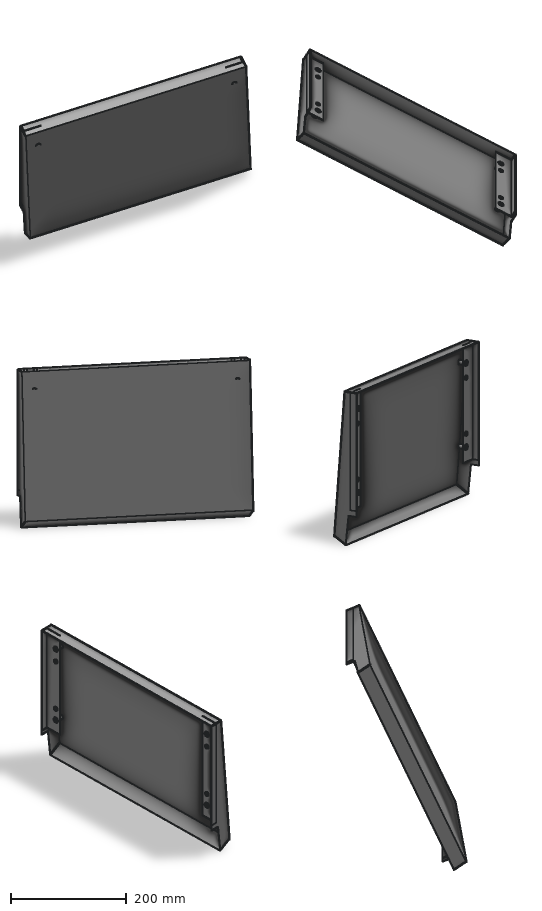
import cadquery as cq
import math

housing_width = 412.2
housing_depth = 45.69
housing_height = 275.34
housing_sheet = 1.5
bend_radius = 1.7
back_angle = 4.56
corner_notch = 1.4
lip_angle = 30.0
lip_tip_x = 21.8
wall_setback = 0.7
wall_front_height = 221.5
wall_step_x = 16.0

bracket_sheet = 1.5
bracket_height = 210.0
bracket_flange = 12.7
bracket_web = 32.5

hole_column_inset = 23.6
plain_center_z = -111.2
standoff_center_z = -110.0
plain_hole_pitch = 100.0
plain_hole_diameter = 8.0
standoff_pitch = 150.0

head_across_flats = 9.5
barrel_diameter = 9.0
barrel_length = 12.8
bore_diameter = 6.5

half_width = housing_width / 2
inner_half_width = half_width - housing_sheet
web_front_x = bracket_flange - bracket_sheet
hole_column_y = half_width - hole_column_inset
SIDES = (-1, 1)

slope = math.radians(lip_angle)
back_slope = math.tan(math.radians(back_angle))
half_bend = math.radians(90 - lip_angle + back_angle) / 2
bend_middle_angle = math.radians(back_angle) - half_bend
bend_overshoot = bend_radius * (math.cos(bend_middle_angle) / math.cos(half_bend) - 1)
back_bottom_x = housing_depth + bend_overshoot
back_bottom_z = -housing_height + (back_bottom_x - lip_tip_x) * math.tan(slope)
top_depth = back_bottom_x + back_slope * back_bottom_z
inner_top_depth = top_depth - housing_sheet * math.hypot(1, back_slope)


def extrude_across(outline, half_length):
    """Extrude an X-Z outline symmetrically along Y."""
    return cq.Workplane("XZ").polyline(outline).close().extrude(half_length, both=True)


def lip_meets_back(height):
    """Point on the back panel's inner face, `height` above the lip's underside, square to the lip."""
    line_z_at_zero_x = back_bottom_z + height / math.cos(slope) - back_bottom_x * math.tan(slope)
    x = (inner_top_depth - back_slope * line_z_at_zero_x) / (1 + back_slope * math.tan(slope))
    return (x, line_z_at_zero_x + x * math.tan(slope))


def top_meets_back(depth):
    """Point on the back panel's inner face, `depth` below the top face."""
    return (inner_top_depth + back_slope * depth, -depth)


def along_lip(setback, height):
    """Point `setback` behind the lip's end and `height` above its underside."""
    return (
        lip_tip_x + setback * math.cos(slope) - height * math.sin(slope),
        -housing_height + setback * math.sin(slope) + height * math.cos(slope),
    )


def make_housing():
    outline = [
        (0, 0),
        (top_depth, 0),
        (back_bottom_x, back_bottom_z),
        along_lip(0, 0),
        along_lip(0, housing_sheet),
        along_lip(wall_setback, housing_sheet),
        (wall_step_x, -wall_front_height),
        (0, -wall_front_height),
    ]
    back_middle = ((top_depth + back_bottom_x) / 2, 0, back_bottom_z / 2)
    tray = extrude_across(outline, half_width)

    tray = tray.faces(cq.NearestToPointSelector(back_middle)).edges().fillet(bend_radius)

    cavity_corner = lip_meets_back(housing_sheet)
    cavity_outline = [
        (0, -housing_sheet),
        top_meets_back(housing_sheet),
        cavity_corner,
        (0, cavity_corner[1] - cavity_corner[0] * math.tan(slope)),
    ]
    tray = tray.cut(extrude_across(cavity_outline, inner_half_width))

    top_notch = [(0, 0), top_meets_back(0), top_meets_back(corner_notch), (0, -corner_notch)]
    lip_notch = [
        along_lip(0, 0),
        lip_meets_back(0),
        lip_meets_back(corner_notch),
        along_lip(0, corner_notch),
    ]
    for notch in (top_notch, lip_notch):
        full = extrude_across(notch, half_width)
        kept = extrude_across(notch, half_width - corner_notch)
        tray = tray.cut(full.cut(kept))
    return tray


def hole_pair(side, center_z, pitch):
    """Y-Z centers of two holes, one above the other, in the bracket on one side."""
    return [(side * hole_column_y, center_z + end * pitch / 2) for end in (-1, 1)]


def standoff_centers(side):
    return hole_pair(side, standoff_center_z, standoff_pitch)


def web_plane():
    return cq.Workplane("YZ", origin=(web_front_x, 0, 0))


def make_hex_heads(centers):
    """Hexagonal prisms as thick as the web, with two corners along Y."""
    corner_diameter = 2 * head_across_flats / math.sqrt(3)
    return web_plane().pushPoints(centers).polygon(6, corner_diameter).extrude(bracket_sheet)


def make_bracket(side):
    outer_y = side * inner_half_width
    flange_y = outer_y - side * bracket_sheet
    edge_y = outer_y - side * bracket_web
    outline = [
        (0, outer_y),
        (bracket_flange, outer_y),
        (bracket_flange, edge_y),
        (web_front_x, edge_y),
        (web_front_x, flange_y),
        (0, flange_y),
    ]
    bracket = (
        cq.Workplane("XY", origin=(0, 0, -housing_sheet))
        .polyline(outline).close().extrude(-bracket_height)
    )
    holes = (
        web_plane().pushPoints(hole_pair(side, plain_center_z, plain_hole_pitch))
        .circle(plain_hole_diameter / 2).extrude(bracket_sheet)
    )
    return bracket.cut(holes).cut(make_hex_heads(standoff_centers(side)))


def make_standoff(center):
    head = make_hex_heads([center])
    barrel = (
        web_plane().workplane(offset=bracket_sheet).pushPoints([center])
        .circle(barrel_diameter / 2).extrude(barrel_length)
    )
    bore = (
        web_plane().pushPoints([center])
        .circle(bore_diameter / 2).extrude(bracket_sheet + barrel_length)
    )
    return head.union(barrel).cut(bore)


housing = make_housing()
brackets = [make_bracket(side) for side in SIDES]
standoffs = [make_standoff(center) for side in SIDES for center in standoff_centers(side)]

result = cq.Compound.makeCompound(
    [body.val() for body in [housing, *brackets, *standoffs]]
)